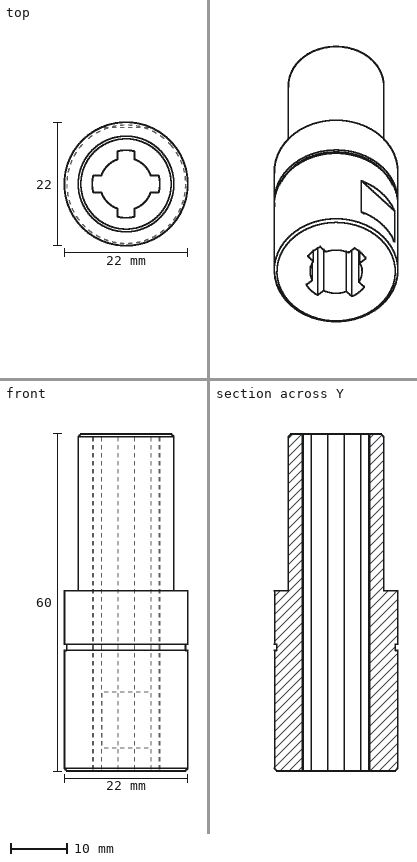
import cadquery as cq

total_height = 60.0
body_diameter = 22.0
shank_diameter = 17.05
shoulder_height = 32.1
edge_chamfer = 0.5

groove_bottom = 21.5
groove_width = 1.1
groove_depth = 0.4

bore_diameter = 9.25
slot_tip_diameter = 12.0
slot_width = 3.0
slot_count = 4

flat_bottom = 4.15
flat_length = 9.95
flat_depth = 0.9


def cylinder(diameter, bottom, height):
    return cq.Workplane("XY").workplane(offset=bottom).circle(diameter / 2).extrude(height)


def make_outer_body():
    body = cylinder(body_diameter, 0, shoulder_height).faces("<Z").chamfer(edge_chamfer)
    shank = cylinder(shank_diameter, shoulder_height, total_height - shoulder_height)
    return body.union(shank.faces(">Z").chamfer(edge_chamfer))


def make_groove_ring():
    outer = cylinder(body_diameter, groove_bottom, groove_width)
    return outer.cut(cylinder(body_diameter - 2 * groove_depth, groove_bottom, groove_width))


def make_splined_bore():
    bars = cq.Workplane("XY")
    for index in range(slot_count // 2):
        bar = (
            cq.Workplane("XY")
            .rect(body_diameter, slot_width)
            .extrude(total_height)
            .rotate((0, 0, 0), (0, 0, 1), index * 360 / slot_count)
        )
        bars = bars.add(bar)
    slots = bars.combine().intersect(cylinder(slot_tip_diameter, 0, total_height))
    return cylinder(bore_diameter, 0, total_height).union(slots)


def make_flat_cutter():
    return (
        cq.Workplane("XY")
        .box(body_diameter, flat_depth, flat_length, centered=(True, False, False))
        .translate((0, body_diameter / 2 - flat_depth, flat_bottom))
    )


result = (
    make_outer_body()
    .cut(make_groove_ring())
    .cut(make_splined_bore())
    .cut(make_flat_cutter())
)